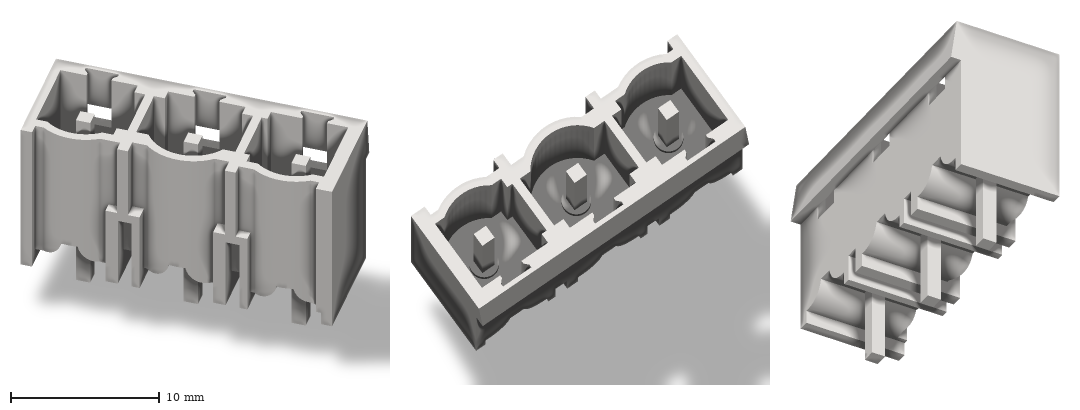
import cadquery as cq
import math


LENGTH = 22.05
DEPTH = 7.63
HEIGHT = 11.75

PITCH = 7.63
FIRST_PIN_X = 3.4
PIN_Y = 3.77
PIN_SIZE = 1.01
PIN_TOP = HEIGHT - 1.0
PIN_BOTTOM = -3.2
PIN_X = [FIRST_PIN_X + i * PITCH for i in range(3)]

CHAMBER_DEPTH = 8.38
CHAMBER_FLOOR = HEIGHT - CHAMBER_DEPTH
NARROW_HALF = 2.73
WIDE_HALF = 3.5
CHAMBER_BACK = 6.88
WIDE_FRONT = 2.12
WIDE_BACK = 6.13
END_SHOULDER = 1.39
LAST_OFFSET = -0.35
COLLAR_DIAMETER = 2.0
COLLAR_HEIGHT = 0.45

BARREL_Y = 3.92
BARREL_INNER = 3.2
BARREL_OUTER = 3.8

END_RECESS = 0.7
MIDDLE_RECESS = 1.0
LEFT_FLANGE = 0.82
RIGHT_FLANGE = 1.15
RIB_WIDTH = 0.77
RIB_X = [x + PITCH / 2 for x in PIN_X[:-1]]
FOOT_WIDTH = 2.42
FOOT_TOP = HEIGHT - 5.58

GROOVE_WIDTH = 0.97
GROOVE_OFFSET = 0.15
GROOVE_TOP = HEIGHT - 6.25
GROOVE_DEPTH = 1.32
THROUGH_TOP = HEIGHT - 9.76

CHANNEL_HALF = (PITCH - FOOT_WIDTH) / 2
CHANNEL_ROOF = HEIGHT - 9.37
LOBE_BOTTOM = HEIGHT - 10.75
LOBE_RADIUS = 1.72
LOBE_OFFSET = 2.27

LEDGE_HEIGHT = 3.13
LEDGE_TOP_REACH = 0.33
LEDGE_BOTTOM_REACH = 0.77

KEY_DEPTH = 4.15
KEY_BACK_HALF = 1.17
KEY_NECK_HALF = 0.88
KEY_TAPER_START = 7.4
KEY_TAPER_END = 7.1


def box(x0, x1, y0, y1, z0, z1):
    """Box between two corners."""
    return cq.Workplane("XY").box(x1 - x0, y1 - y0, z1 - z0, centered=False).translate((x0, y0, z0))


def cylinder(x, y, radius, z0, z1):
    """Upright round column."""
    return cq.Workplane("XY", origin=(x, y, z0)).circle(radius).extrude(z1 - z0)


def square_bar(x, z0, z1):
    """Upright square bar on a pin axis."""
    half = PIN_SIZE / 2
    return box(x - half, x + half, PIN_Y - half, PIN_Y + half, z0, z1)


def side_profile():
    """Block with the sloping latch ledge, extruded along the row."""
    ledge_bottom = HEIGHT - LEDGE_HEIGHT
    outline = [
        (0, 0),
        (DEPTH, 0),
        (DEPTH, ledge_bottom),
        (DEPTH + LEDGE_BOTTOM_REACH, ledge_bottom),
        (DEPTH + LEDGE_TOP_REACH, HEIGHT),
        (0, HEIGHT),
    ]
    return cq.Workplane("YZ").polyline(outline).close().extrude(LENGTH)


def front_recess(x0, x1, barrel_x, face_y, left_foot, right_foot):
    """Space in front of one chamber, leaving its round wall and the feet beside it."""
    space = box(x0, x1, 0, face_y, 0, HEIGHT)
    space = space.cut(cylinder(barrel_x, BARREL_Y, BARREL_OUTER, 0, HEIGHT))
    reach = (FOOT_WIDTH - RIB_WIDTH) / 2
    if left_foot:
        space = space.cut(box(x0, x0 + reach, 0, face_y, 0, FOOT_TOP))
    if right_foot:
        space = space.cut(box(x1 - reach, x1, 0, face_y, 0, FOOT_TOP))
    return space


def chamber(pin_x, centre_x, shoulder_y, wide_left, wide_right):
    """Open chamber: narrow part, round front, and the wide part towards neighbouring chambers."""
    narrow_left = centre_x - NARROW_HALF
    narrow_right = centre_x + NARROW_HALF
    left = pin_x - WIDE_HALF if wide_left else narrow_left
    right = pin_x + WIDE_HALF if wide_right else narrow_right
    front = BARREL_Y - BARREL_INNER
    space = box(narrow_left, narrow_right, shoulder_y, CHAMBER_BACK, CHAMBER_FLOOR, HEIGHT)
    space = space.union(box(left, right, WIDE_FRONT, WIDE_BACK, CHAMBER_FLOOR, HEIGHT))
    bulge = cylinder(centre_x, BARREL_Y, BARREL_INNER, CHAMBER_FLOOR, HEIGHT)
    bulge = bulge.intersect(box(narrow_left, narrow_right, front, shoulder_y, CHAMBER_FLOOR, HEIGHT))
    return space.union(bulge)


def keyway(x):
    """Dovetail keyway from the chamber to the back face of the wall."""
    outline = [
        (x - KEY_NECK_HALF, CHAMBER_BACK),
        (x - KEY_NECK_HALF, KEY_TAPER_END),
        (x - KEY_BACK_HALF, KEY_TAPER_START),
        (x - KEY_BACK_HALF, DEPTH),
        (x + KEY_BACK_HALF, DEPTH),
        (x + KEY_BACK_HALF, KEY_TAPER_START),
        (x + KEY_NECK_HALF, KEY_TAPER_END),
        (x + KEY_NECK_HALF, CHAMBER_BACK),
    ]
    plane = cq.Workplane("XY", origin=(0, 0, HEIGHT - KEY_DEPTH))
    return plane.polyline(outline).close().extrude(KEY_DEPTH)


def underside_channel(x):
    """Front-to-back channel below a chamber; its roof is highest at the pin."""
    lobe_axis_z = LOBE_BOTTOM + LOBE_RADIUS
    rise = CHANNEL_ROOF - lobe_axis_z
    roof_half = LOBE_OFFSET - math.sqrt(LOBE_RADIUS**2 - rise**2)
    angle = (math.atan2(rise, LOBE_OFFSET - roof_half) - math.pi / 2) / 2
    mid_x = LOBE_OFFSET + LOBE_RADIUS * math.sin(angle)
    mid_z = lobe_axis_z - LOBE_RADIUS * math.cos(angle)
    profile = (
        cq.Workplane("XZ", origin=(x, 0, 0))
        .moveTo(-CHANNEL_HALF, 0)
        .lineTo(CHANNEL_HALF, 0)
        .lineTo(CHANNEL_HALF, LOBE_BOTTOM)
        .lineTo(LOBE_OFFSET, LOBE_BOTTOM)
        .threePointArc((mid_x, mid_z), (roof_half, CHANNEL_ROOF))
        .lineTo(-roof_half, CHANNEL_ROOF)
        .threePointArc((-mid_x, mid_z), (-LOBE_OFFSET, LOBE_BOTTOM))
        .lineTo(-CHANNEL_HALF, LOBE_BOTTOM)
        .close()
    )
    return profile.extrude(-DEPTH)


def foot_slot(rib_x):
    """Groove in the front of a foot, joined to a through slot at the underside."""
    left = rib_x + GROOVE_OFFSET - GROOVE_WIDTH / 2
    right = left + GROOVE_WIDTH
    groove = box(left, right, 0, GROOVE_DEPTH, 0, GROOVE_TOP)
    return groove.union(box(left, right, 0, DEPTH, 0, THROUGH_TOP))


def make_housing():
    """Moulded housing with chambers, keyways, front recesses and underside cuts."""
    first_x, middle_x, last_x = PIN_X
    first_rib, second_rib = RIB_X
    rib_half = RIB_WIDTH / 2
    last_centre = last_x + LAST_OFFSET
    body = side_profile()

    body = body.cut(front_recess(LEFT_FLANGE, first_rib - rib_half, first_x, END_RECESS, False, True))
    body = body.cut(
        front_recess(first_rib + rib_half, second_rib - rib_half, middle_x, MIDDLE_RECESS, True, True)
    )
    body = body.cut(
        front_recess(second_rib + rib_half, LENGTH - RIGHT_FLANGE, last_centre, END_RECESS, True, False)
    )

    body = body.cut(chamber(first_x, first_x, END_SHOULDER, False, True))
    body = body.cut(chamber(middle_x, middle_x, WIDE_FRONT, True, True))
    body = body.cut(chamber(last_x, last_centre, END_SHOULDER, True, False))

    for rib_x in RIB_X:
        body = body.cut(foot_slot(rib_x))

    collar_top = CHAMBER_FLOOR + COLLAR_HEIGHT
    for x in PIN_X:
        body = body.cut(keyway(x))
        body = body.cut(underside_channel(x))
        body = body.union(cylinder(x, PIN_Y, COLLAR_DIAMETER / 2, CHAMBER_FLOOR, collar_top))
        body = body.cut(square_bar(x, 0, collar_top))
    return body


def make_pin(x):
    """Square contact pin through the chamber floor."""
    return square_bar(x, PIN_BOTTOM, PIN_TOP)


housing = make_housing()
pins = [make_pin(x) for x in PIN_X]

result = cq.Compound.makeCompound([housing.val(), *[pin.val() for pin in pins]])